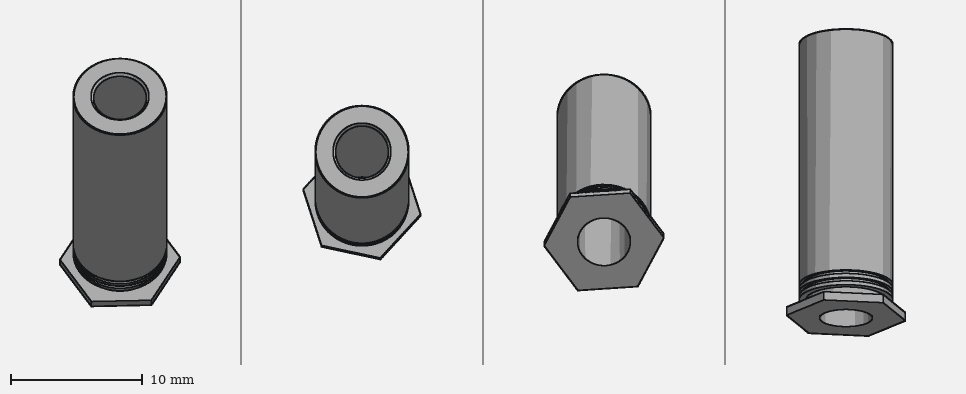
import cadquery as cq
import math

total_height = 22.0
body_diameter = 7.13
edge_chamfer = 0.07

hex_across_flats = 7.9
hex_across_corners = hex_across_flats / math.cos(math.pi / 6)
head_thickness = 0.65

neck_diameter = 6.1
neck_top = 1.45

groove_diameter = 6.62
groove_width = 0.29
groove_bottoms = (1.75, 2.35)

bore_diameter = 4.0
bore_chamfer = 0.2


def ring_cut(bottom, height, inner_diameter):
    """Ring that reduces the body to inner_diameter over the given height."""
    return (
        cq.Workplane("XY")
        .workplane(offset=bottom)
        .circle(body_diameter / 2)
        .circle(inner_diameter / 2)
        .extrude(height)
    )


body = (
    cq.Workplane("XY")
    .circle(body_diameter / 2)
    .extrude(total_height)
    .faces(">Z")
    .chamfer(edge_chamfer)
)

body = body.cut(ring_cut(head_thickness, neck_top - head_thickness, neck_diameter))
for groove_bottom in groove_bottoms:
    body = body.cut(ring_cut(groove_bottom, groove_width, groove_diameter))

head = cq.Workplane("XY").polygon(6, hex_across_corners).extrude(head_thickness)
body = body.union(head)

bore = cq.Workplane("XY").circle(bore_diameter / 2).extrude(total_height)
body = body.cut(bore)
bore_mouth = cq.selectors.RadiusNthSelector(0)
result = body.faces(">Z").edges(bore_mouth).chamfer(bore_chamfer)